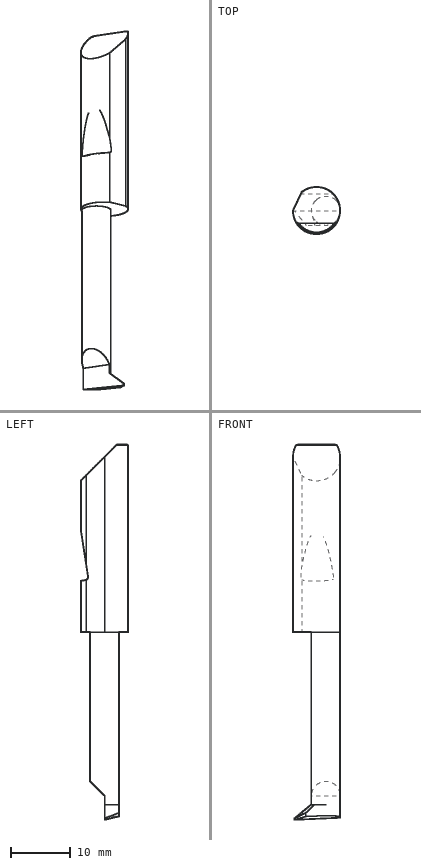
import cadquery as cq
import math

total_length = 63.5
shank_radius = 4.0
shank_bottom = 31.75
neck_radius = 2.46
neck_x = shank_radius - neck_radius
oversize = 12.7

end_chamfer_radial = 0.3
end_chamfer_axial = 0.2
bevel_start_y = -2.15
flat_edge_y = 3.1
notch_top = 48.9
notch_floor_y = 2.7
notch_bottom = 40.65
notch_slope = 10.0
notch_corner_radius = 0.5
notch_overrun = 0.65

head_height = 2.6
tip_x = -3.75
tip_land = 0.25
flank_x = -1.8
flank_height = 1.2
front_slope_top_x = -0.3
relief_start = 6.55
end_rise_x = 0.045
end_rise_y = 0.2
trim_depth = 0.65


def side_prism(profile):
    """Extrude a closed YZ workplane profile along X on both sides of the axis."""
    return profile.extrude(oversize, both=True)


def make_shank():
    length = total_length - shank_bottom
    shank = cq.Workplane("XY").workplane(offset=shank_bottom).circle(shank_radius).extrude(length)
    return shank.faces(">Z").chamfer(end_chamfer_axial, end_chamfer_radial)


def end_bevel():
    top_z = total_length + oversize
    profile = (
        cq.Workplane("YZ")
        .moveTo(bevel_start_y - oversize, top_z)
        .lineTo(bevel_start_y + oversize, total_length - oversize)
        .lineTo(bevel_start_y + oversize, top_z)
        .close()
    )
    return side_prism(profile)


def side_flat():
    flat_edge_x = -math.sqrt(shank_radius**2 - flat_edge_y**2)
    return (
        cq.Workplane("XY")
        .workplane(offset=shank_bottom)
        .moveTo(-shank_radius, 0)
        .lineTo(flat_edge_x, flat_edge_y)
        .lineTo(-shank_radius, flat_edge_y)
        .close()
        .extrude(total_length - shank_bottom)
    )


def clamping_notch():
    """Sloping floor with a rounded corner and an end wall square to the floor."""
    slope = math.tan(math.radians(notch_slope))
    outer_y = shank_radius + notch_overrun
    profile = (
        cq.Workplane("YZ")
        .moveTo(notch_floor_y, notch_bottom)
        .lineTo(outer_y, notch_bottom - (outer_y - notch_floor_y) * slope)
        .lineTo(outer_y, notch_top + (outer_y - shank_radius) / slope)
        .lineTo(shank_radius, notch_top)
        .close()
    )
    notch = side_prism(profile)
    return notch.edges("|X").edges("<Y").fillet(notch_corner_radius)


def make_neck():
    """Round neck whose +Y half is relieved at the cutting end."""
    neck = cq.Workplane("XY").center(neck_x, 0).circle(neck_radius).extrude(shank_bottom)
    relief = (
        cq.Workplane("YZ")
        .moveTo(0, -oversize)
        .lineTo(0, relief_start - neck_radius)
        .lineTo(oversize, relief_start - neck_radius + oversize)
        .lineTo(oversize, -oversize)
        .close()
    )
    return neck.cut(side_prism(relief))


def make_head():
    """Hooked cutting tip tapering from the rake face at y = 0 to the front face."""
    rake_profile = [
        (tip_x, -trim_depth),
        (neck_x, -trim_depth),
        (neck_x, head_height),
        (neck_x - neck_radius, head_height),
        (tip_x, tip_land),
    ]
    front_profile = [
        (flank_x, -trim_depth),
        (neck_x, -trim_depth),
        (neck_x, head_height),
        (front_slope_top_x, head_height),
        (flank_x, flank_height),
    ]
    return (
        cq.Workplane("XZ")
        .polyline(rake_profile)
        .close()
        .workplane(offset=neck_radius)
        .polyline(front_profile)
        .close()
        .loft(ruled=True)
    )


def end_clearance():
    """Half-space below the end face, which rises from the tip toward +X and -Y."""
    plane = cq.Plane(
        origin=(tip_x, 0, 0),
        xDir=(1, 0, end_rise_x),
        normal=(-end_rise_x, end_rise_y, 1),
    )
    return cq.Workplane(plane).rect(2 * oversize, 2 * oversize).extrude(-oversize)


shank = make_shank().cut(end_bevel()).cut(side_flat()).cut(clamping_notch())
cutting_end = make_neck().union(make_head()).cut(end_clearance())
result = shank.union(cutting_end)